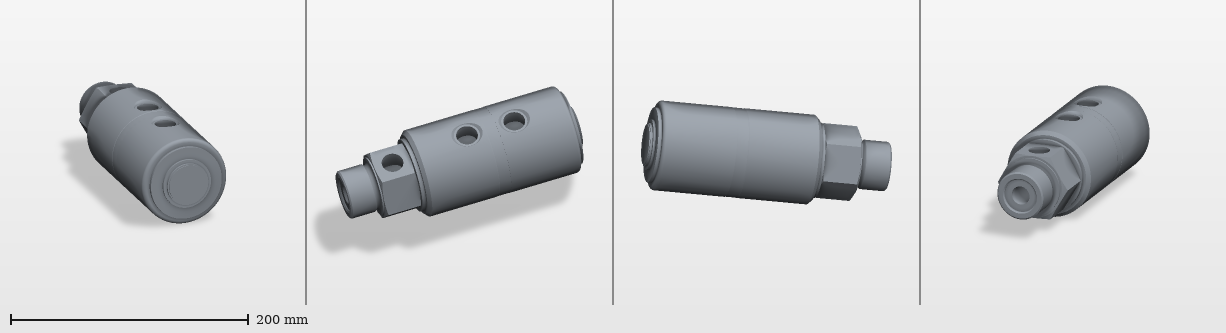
import cadquery as cq
import math

flange_start = 26.5
hex_start = 27.7
hex_end = 59.5
body_start = 62.8
ring_start = 126.7
ring_end = 136.7
body_end = 200.0
end_collar_end = 203.2
end_step_1_end = 205.3
end_step_2_end = 207.2
total_length = 208.0

thread_dia = 41.8
undercut_dia = 38.7
flange_dia = 50.8
collar_dia = 63.6
body_dia = 76.0
ring_dia = 75.5
end_step_1_dia = 42.8
end_step_2_dia = 36.6
end_step_3_dia = 34.3

thread_chamfer = 1.2
undercut_radius = 2.0
body_edge = 3.1
ring_joint_width = 0.6

hex_across_flats = 55.0
hex_chamfer_dia = 54.5
hex_chamfer_length = 1.5

bore_dia = 16.0
bore_depth = hex_end
recess_dia = 28.7
recess_depth = 2.0
recess_chamfer = 1.0

port_dia = 18.3
hex_port_x = 43.9
hex_core_dia = 26.2
body_port_positions = (110.5, 152.7)
body_core_dia = 45.8
seat_dia = 22.0
seat_height = 35.5


def revolve_about_x(profile):
    """Revolve an (x, radius) outline a full turn about the X axis."""
    return profile.close().revolve(360, (0, 0, 0), (1, 0, 0))


def rod(start, end, diameter):
    """Solid cylinder on the X axis."""
    return cq.Workplane("YZ", origin=(start, 0, 0)).circle(diameter / 2).extrude(end - start)


def threaded_end():
    """Thread blank with a 45 degree run-out into a rounded undercut, then a thin flange."""
    thread_radius = thread_dia / 2
    arc_x = flange_start - undercut_radius
    arc_height = undercut_dia / 2 + undercut_radius
    diagonal = undercut_radius * math.sin(math.pi / 4)
    run_out_end = (arc_x - diagonal, arc_height - diagonal)
    thread_end = run_out_end[0] - (thread_radius - run_out_end[1])
    profile = (
        cq.Workplane("XY")
        .lineTo(0, thread_radius - thread_chamfer)
        .lineTo(thread_chamfer, thread_radius)
        .lineTo(thread_end, thread_radius)
        .lineTo(*run_out_end)
        .threePointArc((arc_x + diagonal, arc_height - diagonal), (flange_start, arc_height))
        .lineTo(flange_start, 0)
    )
    return revolve_about_x(profile).union(rod(flange_start, hex_start, flange_dia))


def hexagon():
    """Hexagon with two flats facing +Z and -Z, its corners chamfered at both ends."""
    corner_dia = hex_across_flats / math.cos(math.pi / 6)
    prism = (
        cq.Workplane("YZ", origin=(hex_start, 0, 0))
        .polygon(6, corner_dia)
        .extrude(hex_end - hex_start)
    )
    envelope = revolve_about_x(
        cq.Workplane("XY")
        .moveTo(hex_start, 0)
        .lineTo(hex_start, hex_chamfer_dia / 2)
        .lineTo(hex_start + hex_chamfer_length, corner_dia / 2)
        .lineTo(hex_end - hex_chamfer_length, corner_dia / 2)
        .lineTo(hex_end, hex_chamfer_dia / 2)
        .lineTo(hex_end, 0)
    )
    return prism.intersect(envelope)


def body():
    body_radius = body_dia / 2
    ring_radius = ring_dia / 2
    rounding_offset = body_edge * math.sin(math.pi / 4)
    rounding_middle = (
        body_end - body_edge + rounding_offset,
        body_radius - body_edge + rounding_offset,
    )
    profile = (
        cq.Workplane("XY")
        .moveTo(body_start, 0)
        .lineTo(body_start, body_radius - body_edge)
        .lineTo(body_start + body_edge, body_radius)
        .lineTo(ring_start - ring_joint_width, body_radius)
        .lineTo(ring_start, ring_radius)
        .lineTo(ring_end, ring_radius)
        .lineTo(ring_end, body_radius)
        .lineTo(body_end - body_edge, body_radius)
        .threePointArc(rounding_middle, (body_end, body_radius - body_edge))
        .lineTo(body_end, 0)
    )
    return revolve_about_x(profile)


def stepped_end():
    return (
        rod(body_end, end_collar_end, collar_dia)
        .union(rod(end_collar_end, end_step_1_end, end_step_1_dia))
        .union(rod(end_step_1_end, end_step_2_end, end_step_2_dia))
        .union(rod(end_step_2_end, total_length, end_step_3_dia))
    )


def axial_bore():
    recess_radius = recess_dia / 2
    profile = (
        cq.Workplane("XY")
        .lineTo(0, recess_radius + recess_chamfer)
        .lineTo(recess_chamfer, recess_radius)
        .lineTo(recess_depth, recess_radius)
        .lineTo(recess_depth, bore_dia / 2)
        .lineTo(bore_depth, bore_dia / 2)
        .lineTo(bore_depth, 0)
    )
    return revolve_about_x(profile)


def port(x, core_dia):
    """Vertical hole from the top down to a round core on the X axis."""
    drill = cq.Workplane("XY", origin=(x, 0, 0)).circle(port_dia / 2).extrude(body_dia / 2)
    return drill.cut(rod(x - port_dia, x + port_dia, core_dia))


def port_seat(x):
    """Countersink with 45 degree sides and a flat floor around a body port."""
    height = body_dia / 2 - seat_height
    return (
        cq.Workplane("XY", origin=(x, 0, seat_height))
        .circle(seat_dia / 2)
        .workplane(offset=height)
        .circle(seat_dia / 2 + height)
        .loft(ruled=True)
    )


result = (
    threaded_end()
    .union(hexagon())
    .union(rod(hex_end, body_start, collar_dia))
    .union(body())
    .union(stepped_end())
    .cut(axial_bore())
    .cut(port(hex_port_x, hex_core_dia))
)
for port_x in body_port_positions:
    result = result.cut(port(port_x, body_core_dia)).cut(port_seat(port_x))